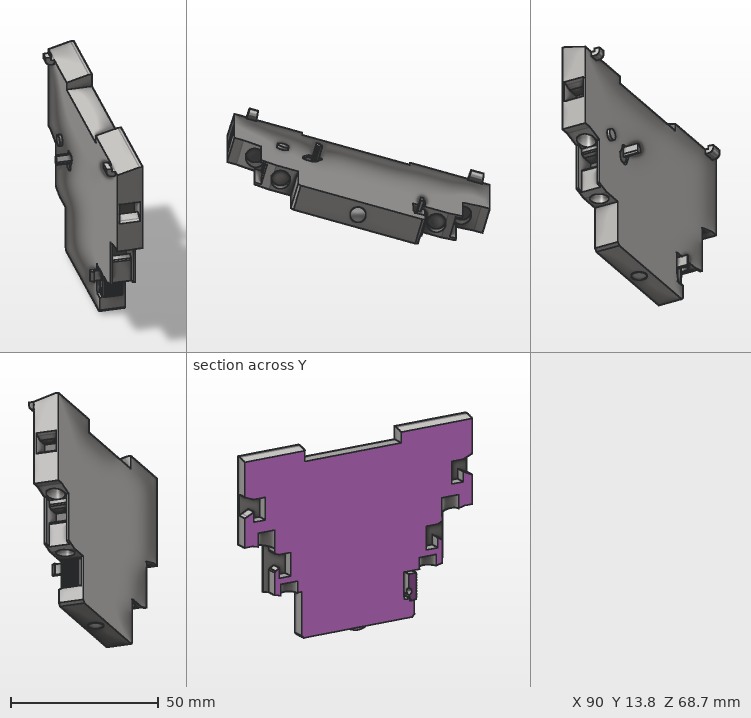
import cadquery as cq

LENGTH = 90.0
THICKNESS = 8.9
WALL = 0.8
MID_Y = THICKNESS / 2

TOP_Z = 67.8
NOTCH_Z = 63.1
NOTCH_LEFT = 23.9
NOTCH_RIGHT = 61.8
EAR_BOTTOM_Z = 36.2
EAR_FLAT = 3.15
NECK_TOP_Z = 34.6
NECK_LEFT = 9.5
NECK_RIGHT = LENGTH - NECK_LEFT
NECK_LOW_Z = 17.8
NECK_BOTTOM_Z = 16.6
NECK_SLANT = 5.1
FOOT_LEFT = 22.4
FOOT_RIGHT = 67.2
FOOT_CHAMFER = 1.0

NECK_RECESS = 2.25
EAR_SLOPE = (EAR_BOTTOM_Z - NECK_TOP_Z) / (NECK_LEFT - EAR_FLAT)
RECESS_TOP_Z = NECK_TOP_Z - EAR_SLOPE * NECK_RECESS

BEVEL_FLAT = 1.2
BEVEL_DROP = 2.0
BEVEL_Z = TOP_Z - BEVEL_DROP

FLARE_RISE = 0.5
CHAMBER_LENGTH = 4.5
CHAMBER_DEPTH = 3.6

UPPER_MOUTH_Z = 46.8
UPPER_MOUTH_HEIGHT = 7.5
UPPER_FLARE_LENGTH = 1.2
UPPER_FUNNEL_LENGTH = 3.6
UPPER_FLOOR_RISE = 1.7
UPPER_CEILING_DROP = 1.4

LOWER_MOUTH_Z = 25.4
LOWER_MOUTH_HEIGHT = 7.1
LOWER_FLARE_LENGTH = 0.4
LOWER_FUNNEL_LENGTH = 1.9
LOWER_FLOOR_RISE = 1.35
LOWER_CEILING_DROP = 1.1

SCREW_RADIUS = 3.2
UPPER_SCREW_INSET = 8.6
UPPER_SCREW_TOP_Z = 40.5
LOWER_SCREW_INSET = 17.55
LOWER_SCREW_TOP_Z = 20.7

HOOK_REACH = 3.0
HOOK_NECK = 1.1
HOOK_TOP_Z = 66.9
HOOK_BOTTOM_Z = 64.1
HOOK_ROUND = 1.6
HOOK_DRAFT = 0.3
HOOKS = [(4.2, 7.7), (82.3, 87.3)]

BOSS_X = 16.9
BOSS_Z = 39.7
BOSS_RADIUS = 2.0
BOSS_HEIGHT = 1.1

SLOT_DEPTH = WALL
SLOT_BOTTOM_ROUND = 1.3
SLOT_TIP_ROUND = 0.8
SLOT_TOP_Z = 40.5
SLOT_BOTTOM_Z = 33.5
SLOT_KNEE_Z = 36.8
SLOT_LEFT = 24.2
SLOT_BOTTOM_RIGHT = 28.1
SLOT_TOP_LEFT = 26.2
SLOT_TOP_RIGHT = 31.3
LEVER_X = 28.4
LEVER_Z = 38.25
LEVER_REACH = 4.9

POCKET_LEFT = 62.9
POCKET_SLANT_Z = 8.55
POCKET_SILL_LEFT = 63.7
POCKET_SILL_Z = 5.7
POCKET_FLOOR_Z = 6.1
POCKET_LEDGE_Z = 6.9
POCKET_LEDGE_RIGHT = 65.3
LATCH_LEFT = 64.8
LATCH_RIGHT = 67.9
LATCH_FOOT_LEFT = 65.8
LATCH_SLANT_Z = 8.3
LATCH_TOP_Z = 15.7
LATCH_EDGE = 0.6
TAB_THICKNESS = 1.1
TAB_TIP = 0.8
TAB_BOTTOM_Z = 11.9
TAB_REACH = 3.0
BARB_RIGHT = 66.7
BARB_Y = -1.8
TOOTH_COUNT = 9
TOOTH_PITCH = 1.0
TOOTH_WIDTH = 0.8
TOOTH_HEIGHT = 0.3
FIRST_TOOTH_Z = 7.0
NUB_Z = 9.4
NUB_RADIUS = 1.2

BUTTON_X = (FOOT_LEFT + FOOT_RIGHT) / 2
BUTTON_RADIUS = 2.7
BUTTON_RIM = 0.3
DOME_HEIGHT = 0.6


def extrude_xz(sketch, y_start, y_end):
    """Extrude a closed sketch of the XZ plane between two Y positions."""
    return sketch.extrude(y_start - y_end).translate((0, y_start, 0))


def prism_xz(points, y_start, y_end):
    return extrude_xz(cq.Workplane("XZ").polyline(points).close(), y_start, y_end)


def box(x_range, y_range, z_range):
    (x0, x1), (y0, y1), (z0, z1) = x_range, y_range, z_range
    return cq.Workplane("XY").box(x1 - x0, y1 - y0, z1 - z0, centered=False).translate((x0, y0, z0))


def housing_block():
    outline = [
        (0, TOP_Z),
        (NOTCH_LEFT, TOP_Z),
        (NOTCH_LEFT, NOTCH_Z),
        (NOTCH_RIGHT, NOTCH_Z),
        (NOTCH_RIGHT, TOP_Z),
        (LENGTH, TOP_Z),
        (LENGTH, EAR_BOTTOM_Z),
        (LENGTH - EAR_FLAT, EAR_BOTTOM_Z),
        (NECK_RIGHT, NECK_TOP_Z),
        (NECK_RIGHT, NECK_LOW_Z),
        (NECK_RIGHT - NECK_SLANT, NECK_BOTTOM_Z),
        (FOOT_RIGHT, NECK_BOTTOM_Z),
        (FOOT_RIGHT, FOOT_CHAMFER),
        (FOOT_RIGHT - FOOT_CHAMFER, 0),
        (FOOT_LEFT + FOOT_CHAMFER, 0),
        (FOOT_LEFT, FOOT_CHAMFER),
        (FOOT_LEFT, NECK_BOTTOM_Z),
        (NECK_LEFT + NECK_SLANT, NECK_BOTTOM_Z),
        (NECK_LEFT, NECK_LOW_Z),
        (NECK_LEFT, NECK_TOP_Z),
        (EAR_FLAT, EAR_BOTTOM_Z),
        (0, EAR_BOTTOM_Z),
    ]
    return prism_xz(outline, 0, THICKNESS)


def top_bevel():
    """Wedge that slopes the top of both ears down towards the front face."""
    wedge = [(0, BEVEL_Z), (THICKNESS - BEVEL_FLAT, TOP_Z), (0, TOP_Z)]
    return cq.Workplane("YZ").polyline(wedge).close().extrude(LENGTH)


def funnel(wall_x, inward, mouth_z, mouth_height, flare_length, length, floor_rise, ceiling_drop):
    """Wire entry in a wall at wall_x; inward is +1 or -1, the X direction into the housing."""
    mouth_top_z = mouth_z + mouth_height
    flare_x = wall_x + inward * flare_length
    throat_x = wall_x + inward * length
    back_x = throat_x + inward * CHAMBER_LENGTH
    throat_low_z = mouth_z + floor_rise
    throat_high_z = mouth_top_z - ceiling_drop
    chamber_floor_z = throat_low_z - CHAMBER_DEPTH
    profile = [
        (wall_x, mouth_z),
        (flare_x, mouth_z + FLARE_RISE),
        (throat_x, throat_low_z),
        (throat_x, chamber_floor_z),
        (back_x, chamber_floor_z),
        (back_x, throat_high_z),
        (throat_x, throat_high_z),
        (flare_x, mouth_top_z - FLARE_RISE),
        (wall_x, mouth_top_z),
    ]
    return prism_xz(profile, WALL, THICKNESS - WALL)


def upper_funnel(wall_x, inward):
    return funnel(
        wall_x,
        inward,
        UPPER_MOUTH_Z,
        UPPER_MOUTH_HEIGHT,
        UPPER_FLARE_LENGTH,
        UPPER_FUNNEL_LENGTH,
        UPPER_FLOOR_RISE,
        UPPER_CEILING_DROP,
    )


def lower_funnel(wall_x, inward):
    return funnel(
        wall_x,
        inward,
        LOWER_MOUTH_Z,
        LOWER_MOUTH_HEIGHT,
        LOWER_FLARE_LENGTH,
        LOWER_FUNNEL_LENGTH,
        LOWER_FLOOR_RISE,
        LOWER_CEILING_DROP,
    )


def screw_bore(x, bottom_z, top_z):
    bore = cq.Workplane("XY").circle(SCREW_RADIUS).extrude(top_z - bottom_z)
    return bore.translate((x, MID_Y, bottom_z))


def neck_recess(wall_x, inward):
    """Recess between the two side walls of the neck, up to the slanted underside of the ear."""
    recess_x = wall_x + inward * NECK_RECESS
    profile = [
        (wall_x, NECK_BOTTOM_Z),
        (recess_x, NECK_BOTTOM_Z),
        (recess_x, RECESS_TOP_Z),
        (wall_x, NECK_TOP_Z),
    ]
    return prism_xz(profile, WALL, THICKNESS - WALL)


def add_terminals(body, ear_x, neck_x, inward):
    """Cut the upper and lower terminal into one end of the housing."""
    recess_x = neck_x + inward * NECK_RECESS
    upper_screw_x = ear_x + inward * UPPER_SCREW_INSET
    lower_screw_x = ear_x + inward * LOWER_SCREW_INSET
    body = body.cut(neck_recess(neck_x, inward))
    body = body.cut(upper_funnel(ear_x, inward))
    body = body.cut(lower_funnel(recess_x, inward))
    body = body.cut(screw_bore(upper_screw_x, RECESS_TOP_Z, UPPER_SCREW_TOP_Z))
    return body.cut(screw_bore(lower_screw_x, NECK_BOTTOM_Z, LOWER_SCREW_TOP_Z))


def hook(left, right):
    """Upturned hook on the front face, with sides that taper towards its tip."""
    side = (
        cq.Workplane("YZ")
        .moveTo(0, HOOK_BOTTOM_Z)
        .lineTo(0, BEVEL_Z)
        .lineTo(-HOOK_NECK, BEVEL_Z)
        .lineTo(-HOOK_NECK, HOOK_TOP_Z)
        .lineTo(-HOOK_REACH, HOOK_TOP_Z)
        .lineTo(-HOOK_REACH, HOOK_BOTTOM_Z + HOOK_ROUND)
        .radiusArc((-HOOK_REACH + HOOK_ROUND, HOOK_BOTTOM_Z), -HOOK_ROUND)
        .close()
        .extrude(right - left)
        .translate((left, 0, 0))
    )
    taper = [
        (left, 0),
        (right, 0),
        (right - HOOK_DRAFT, -HOOK_REACH),
        (left + HOOK_DRAFT, -HOOK_REACH),
    ]
    return side.intersect(cq.Workplane("XY").polyline(taper).close().extrude(TOP_Z))


def boss():
    circle = cq.Workplane("XZ").center(BOSS_X, BOSS_Z).circle(BOSS_RADIUS)
    return extrude_xz(circle, -BOSS_HEIGHT, 0)


def lever_slot():
    outline = [
        (SLOT_LEFT, SLOT_BOTTOM_Z),
        (SLOT_BOTTOM_RIGHT, SLOT_BOTTOM_Z),
        (SLOT_TOP_RIGHT, SLOT_TOP_Z),
        (SLOT_TOP_LEFT, SLOT_TOP_Z),
        (SLOT_LEFT, SLOT_KNEE_Z),
    ]
    slot = prism_xz(outline, 0, SLOT_DEPTH)
    slot = slot.edges("|Y and <Z").fillet(SLOT_BOTTOM_ROUND)
    return slot.edges("|Y and >X").fillet(SLOT_TIP_ROUND)


def latch_pocket():
    """Pocket in the foot, open to the front and to the +X side, with a raised inner ledge."""
    opening = prism_xz(
        [
            (POCKET_LEFT, NECK_BOTTOM_Z),
            (POCKET_LEFT, POCKET_SLANT_Z),
            (POCKET_SILL_LEFT, POCKET_SILL_Z),
            (FOOT_RIGHT, POCKET_SILL_Z),
            (FOOT_RIGHT, NECK_BOTTOM_Z),
        ],
        0,
        THICKNESS - WALL,
    )
    sill = [
        (0, POCKET_SILL_Z),
        (WALL, POCKET_FLOOR_Z),
        (THICKNESS, POCKET_FLOOR_Z),
        (THICKNESS, 0),
        (0, 0),
    ]
    below_floor = cq.Workplane("YZ").polyline(sill).close().extrude(LENGTH)
    ledge = box((0, POCKET_LEDGE_RIGHT), (WALL, THICKNESS), (0, POCKET_LEDGE_Z))
    return opening.cut(below_floor).cut(ledge)


def make_housing():
    body = housing_block().cut(top_bevel())
    body = add_terminals(body, 0, NECK_LEFT, 1)
    body = add_terminals(body, LENGTH, NECK_RIGHT, -1)
    for left, right in HOOKS:
        body = body.union(hook(left, right))
    return body.union(boss()).cut(lever_slot()).cut(latch_pocket())


def make_lever():
    """Pointed bar that stands on the floor of the slot."""
    section = [
        (-0.9, 2.1),
        (0, 2.1),
        (1.2, 0.4),
        (1.2, -0.45),
        (0.4, -0.8),
        (-0.2, -1.4),
        (-0.7, -1.4),
        (-1.1, -0.6),
    ]
    return prism_xz(section, -LEVER_REACH, SLOT_DEPTH).translate((LEVER_X, 0, LEVER_Z))


def latch_plate():
    profile = [
        (LATCH_LEFT, LATCH_TOP_Z),
        (LATCH_RIGHT, LATCH_TOP_Z),
        (LATCH_RIGHT, POCKET_FLOOR_Z),
        (LATCH_FOOT_LEFT, POCKET_FLOOR_Z),
        (POCKET_LEDGE_RIGHT, POCKET_LEDGE_Z),
        (LATCH_LEFT, LATCH_SLANT_Z),
    ]
    plate = prism_xz(profile, WALL, THICKNESS - WALL)
    return plate.faces(">X").edges("|Z").chamfer(LATCH_EDGE)


def latch_tooth(middle_z):
    """Triangular gripping ridge across the outer face of the plate."""
    profile = [
        (LATCH_RIGHT, middle_z - TOOTH_WIDTH / 2),
        (LATCH_RIGHT + TOOTH_HEIGHT, middle_z),
        (LATCH_RIGHT, middle_z + TOOTH_WIDTH / 2),
    ]
    return prism_xz(profile, WALL + LATCH_EDGE, THICKNESS - WALL - LATCH_EDGE)


def latch_tab():
    """Tab that reaches out past the front face and ends in a barb."""
    tab_right = LATCH_LEFT + TAB_THICKNESS
    profile = [
        (LATCH_LEFT, WALL),
        (LATCH_LEFT, -TAB_REACH),
        (LATCH_LEFT + TAB_TIP, -TAB_REACH),
        (BARB_RIGHT, BARB_Y),
        (tab_right, BARB_Y),
        (tab_right, WALL),
    ]
    tab = cq.Workplane("XY").polyline(profile).close().extrude(LATCH_TOP_Z - TAB_BOTTOM_Z)
    return tab.translate((0, 0, TAB_BOTTOM_Z))


def make_latch():
    """Slider in the foot pocket: plate, gripping teeth, rounded nub and barbed front tab."""
    nub = cq.Workplane("XY").sphere(NUB_RADIUS).translate((LATCH_LEFT, MID_Y, NUB_Z))
    body = latch_plate().union(nub).union(latch_tab())
    for i in range(TOOTH_COUNT):
        body = body.union(latch_tooth(FIRST_TOOTH_Z + i * TOOTH_PITCH))
    return body


def make_button():
    """Shallow dome on the underside of the foot."""
    dome_radius = (BUTTON_RADIUS**2 + DOME_HEIGHT**2) / (2 * DOME_HEIGHT)
    return (
        cq.Workplane("XZ")
        .lineTo(BUTTON_RADIUS, 0)
        .lineTo(BUTTON_RADIUS, -BUTTON_RIM)
        .radiusArc((0, -BUTTON_RIM - DOME_HEIGHT), dome_radius)
        .close()
        .revolve(360, (0, 0, 0), (0, 1, 0))
        .translate((BUTTON_X, MID_Y, 0))
    )


housing = make_housing()
lever = make_lever()
latch = make_latch()
button = make_button()

result = cq.Compound.makeCompound([housing.val(), lever.val(), latch.val(), button.val()])